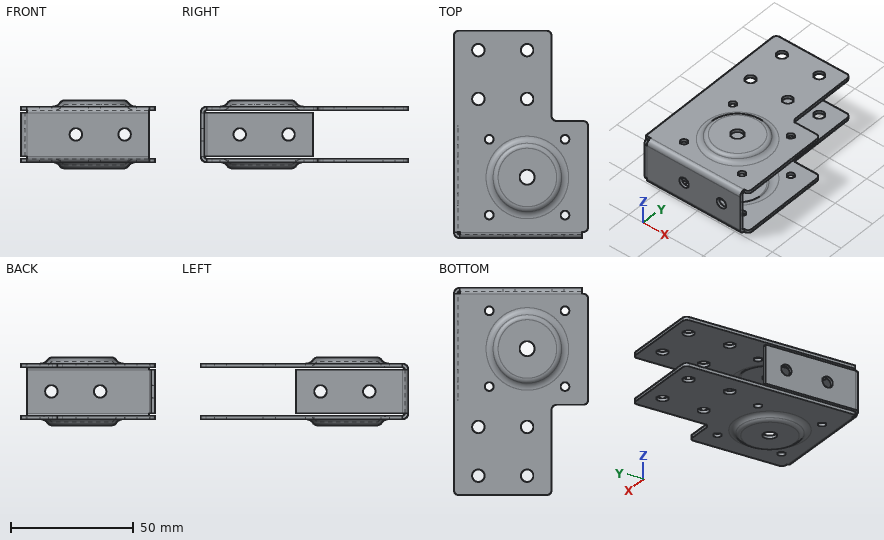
import cadquery as cq
import math

length = 85.0
width = 55.0
height = 28.0

sheet = 1.5
bend_radius = 2.5
inner_bend_radius = bend_radius - sheet
wall_height = 17.9
plate_z = wall_height / 2 + bend_radius

arm_width = 40.0
shoulder_y = 48.0
corner_radius = 2.0
side_wall_end = 46.0

hole_pitch = 20.0
screw_hole = 5.0
arm_hole_x = 10.0
arm_hole_y = 57.0
front_hole_x = 22.5
side_hole_y = 16.0
center_hole = 6.0
mount_hole = 3.5
mount_pitch = 31.0

dome_x = arm_hole_x + hole_pitch
dome_y = 25.0
dome_foot_radius = 16.9
dome_blend_radius = 14.0
dome_top_radius = 12.0
dome_height = height / 2 - plate_z


def plate():
    """Flat upper plate, starting where the front bend ends."""
    outline = (
        cq.Workplane("XY")
        .workplane(offset=plate_z - sheet)
        .moveTo(0, bend_radius)
        .lineTo(width, bend_radius)
        .lineTo(width, shoulder_y)
        .lineTo(arm_width, shoulder_y)
        .lineTo(arm_width, length)
        .lineTo(0, length)
        .close()
        .extrude(sheet)
    )
    square_corner = cq.selectors.NearestToPointSelector((0, bend_radius, plate_z - sheet / 2))
    vertical = cq.selectors.ParallelDirSelector(cq.Vector(0, 0, 1))
    return outline.edges(vertical - square_corner).fillet(corner_radius)


def dome_skin(depth):
    """Points along the dome section, `depth` below its outer skin, from foot to top."""
    slope = 2 * math.atan(dome_height / (dome_foot_radius - dome_top_radius))
    foot_arc = (dome_foot_radius - dome_blend_radius) / math.sin(slope) + depth
    top_arc = (dome_blend_radius - dome_top_radius) / math.sin(slope) - depth
    foot_z = plate_z - depth
    top_z = foot_z + dome_height

    def on_foot(angle):
        return (
            dome_foot_radius - foot_arc * math.sin(angle),
            foot_z + foot_arc * (1 - math.cos(angle)),
        )

    on_top = (
        dome_top_radius + top_arc * math.sin(slope / 2),
        top_z - top_arc * (1 - math.cos(slope / 2)),
    )
    return [on_foot(0), on_foot(slope / 2), on_foot(slope), on_top, (dome_top_radius, top_z)]


def dome():
    """Pressed dome of constant sheet thickness, centred on the Z axis."""
    outer = dome_skin(0)
    inner = dome_skin(sheet)
    section = (
        cq.Workplane("XZ")
        .moveTo(*outer[0])
        .threePointArc(outer[1], outer[2])
        .threePointArc(outer[3], outer[4])
        .lineTo(0, outer[4][1])
        .lineTo(0, inner[4][1])
        .lineTo(*inner[4])
        .threePointArc(inner[3], inner[2])
        .threePointArc(inner[1], inner[0])
        .close()
    )
    return section.revolve(360, (0, 0, 0), (0, 1, 0))


def domed_plate():
    """Upper plate with its dome and all of its holes."""
    base = plate()
    dome_opening = (
        cq.Workplane("XY")
        .center(dome_x, dome_y)
        .circle(dome_foot_radius)
        .extrude(height)
    )
    base = base.cut(dome_opening).union(dome().translate((dome_x, dome_y, 0)))
    arm_holes = (
        cq.Workplane("XY")
        .center(arm_hole_x + hole_pitch / 2, arm_hole_y + hole_pitch / 2)
        .rarray(hole_pitch, hole_pitch, 2, 2)
        .circle(screw_hole / 2)
        .extrude(height)
    )
    mount_holes = (
        cq.Workplane("XY")
        .center(dome_x, dome_y)
        .rarray(mount_pitch, mount_pitch, 2, 2)
        .circle(mount_hole / 2)
        .extrude(height)
    )
    axle_hole = (
        cq.Workplane("XY")
        .center(dome_x, dome_y)
        .circle(center_hole / 2)
        .extrude(height)
    )
    return base.cut(arm_holes).cut(mount_holes).cut(axle_hole)


def bend(bend_length):
    """Quarter-round bend along +Z, about the Z axis, in the -X -Y quadrant."""
    return (
        cq.Workplane("XY")
        .moveTo(-bend_radius, 0)
        .radiusArc((0, -bend_radius), -bend_radius)
        .lineTo(0, -inner_bend_radius)
        .radiusArc((-inner_bend_radius, 0), inner_bend_radius)
        .close()
        .extrude(bend_length)
    )


def walls():
    """Front and left walls with the upright bend that joins them."""
    front_length = width - 2 * bend_radius
    side_length = side_wall_end - bend_radius
    front = (
        cq.Workplane("XY")
        .box(front_length, sheet, wall_height, centered=(False, False, True))
        .translate((bend_radius, 0, 0))
    )
    side = (
        cq.Workplane("XY")
        .box(sheet, side_length, wall_height, centered=(False, False, True))
        .translate((0, bend_radius, 0))
    )
    corner = bend(wall_height).translate((bend_radius, bend_radius, -wall_height / 2))
    front_holes = (
        cq.Workplane("XZ")
        .pushPoints([(front_hole_x, 0), (front_hole_x + hole_pitch, 0)])
        .circle(screw_hole / 2)
        .extrude(-sheet)
    )
    side_holes = (
        cq.Workplane("YZ")
        .pushPoints([(side_hole_y, 0), (side_hole_y + hole_pitch, 0)])
        .circle(screw_hole / 2)
        .extrude(sheet)
    )
    return front.cut(front_holes).union(corner).union(side.cut(side_holes))


def front_bend():
    """Bend between the front wall and the upper plate."""
    return (
        bend(width - 2 * bend_radius)
        .rotate((0, 0, 0), (0, 1, 0), 90)
        .translate((bend_radius, bend_radius, wall_height / 2))
    )


upper_half = domed_plate().union(front_bend())
lower_half = upper_half.mirror("XY")
result = walls().union(upper_half).union(lower_half)